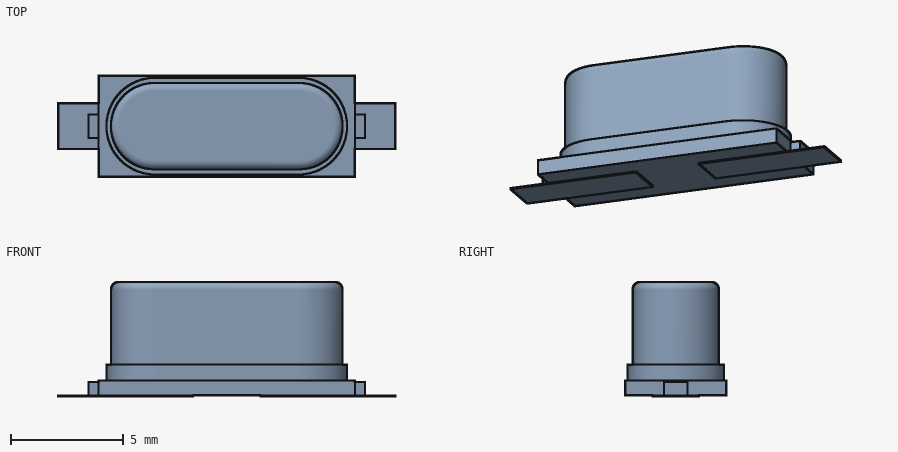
import cadquery as cq

base_length = 11.4
base_width = 4.5
base_thickness = 0.67
pad_thickness = 0.05
pad_length = 6.0
pad_width = 2.05
pad_span = 15.0

lead_span = 12.3
lead_width = 1.05
lead_height = 0.6

total_height = 5.1
flange_length = 10.7
flange_width = 4.3
flange_height = 0.7
flange_edge_radius = 0.03
can_root_radius = 0.025
can_length = 10.3
can_width = 3.84
can_top_radius = 0.35

root_margin = 0.01

base_top = pad_thickness + base_thickness
flange_top = base_top + flange_height


def box(length, width, bottom, height):
    """Block centred on the Z axis, standing on the given height."""
    return (
        cq.Workplane("XY")
        .workplane(offset=bottom)
        .rect(length, width)
        .extrude(height)
    )


def oblong(length, width, bottom, height):
    """Prism with half-round ends, standing on the given height."""
    return (
        cq.Workplane("XY")
        .workplane(offset=bottom)
        .slot2D(length, width)
        .extrude(height)
    )


def make_pads():
    """Two foil pads, one under each end of the base."""
    pad_offset = (pad_span - pad_length) / 2
    return (
        cq.Workplane("XY")
        .pushPoints([(-pad_offset, 0), (pad_offset, 0)])
        .rect(pad_length, pad_width)
        .extrude(pad_thickness)
    )


def make_housing():
    """Flange and can in one piece, with the can's top, its root and the flange's rim rounded."""
    flange = oblong(flange_length, flange_width, base_top, flange_height)
    flange = flange.faces(">Z").edges().fillet(flange_edge_radius)
    can = oblong(can_length, can_width, flange_top, total_height - flange_top)
    can = can.faces(">Z").edges().fillet(can_top_radius)
    root_edges = cq.selectors.BoxSelector(
        (-can_length, -can_width / 2 - root_margin, flange_top - root_margin),
        (can_length, can_width / 2 + root_margin, flange_top + root_margin),
        boundingbox=True,
    )
    return flange.union(can).edges(root_edges).fillet(can_root_radius)


base = box(base_length, base_width, pad_thickness, base_thickness)
leads = box(lead_span, lead_width, pad_thickness, lead_height)

result = base.union(leads).union(make_pads()).union(make_housing())